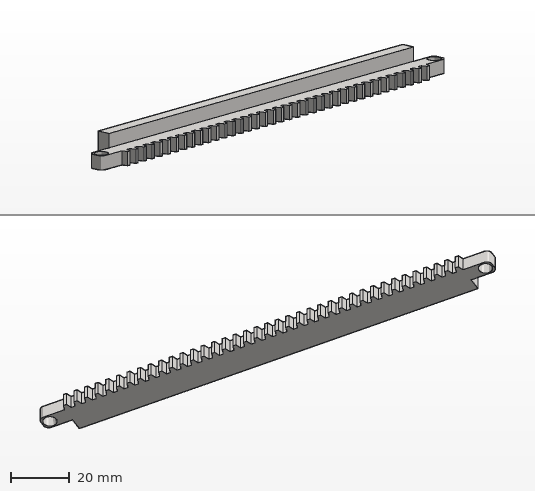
import cadquery as cq

total_length = 173.7
total_width = 13.0
wall_height = 10.0

wall_length = 153.5
wall_thickness = 5.0

bar_width = 5.9
bar_height = wall_height / 2
corner_radius = 1.9
hole_diameter = 4.9
hole_end_distance = bar_width / 2

tooth_count = 38
tooth_root_width = 2.6
tooth_tip_width = 1.2
tooth_pitch = (wall_length - tooth_root_width) / (tooth_count - 1)

wall_outer_x = -total_width / 2
bar_inner_x = wall_outer_x + wall_thickness
bar_outer_x = bar_inner_x + bar_width
bar_middle_x = (bar_inner_x + bar_outer_x) / 2
tooth_tip_x = total_width / 2


def make_wall():
    return (
        cq.Workplane("XY")
        .box(wall_thickness, wall_length, wall_height, centered=(False, True, False))
        .translate((wall_outer_x, 0, 0))
    )


def make_bar():
    """Bar with rounded corners and a through hole near each end."""
    bar = (
        cq.Workplane("XY")
        .box(bar_width, total_length, bar_height, centered=(True, True, False))
        .edges("|Z")
        .fillet(corner_radius)
        .translate((bar_middle_x, 0, 0))
    )
    hole_y = total_length / 2 - hole_end_distance
    holes = (
        cq.Workplane("XY")
        .pushPoints([(bar_middle_x, -hole_y), (bar_middle_x, hole_y)])
        .circle(hole_diameter / 2)
        .extrude(bar_height)
    )
    return bar.cut(holes)


def make_teeth():
    """Tapered teeth on a strip that reaches into the bar."""
    first_tooth_y = (tooth_root_width - wall_length) / 2
    outline = [(bar_middle_x, -wall_length / 2)]
    for index in range(tooth_count):
        tooth_y = first_tooth_y + index * tooth_pitch
        outline += [
            (bar_outer_x, tooth_y - tooth_root_width / 2),
            (tooth_tip_x, tooth_y - tooth_tip_width / 2),
            (tooth_tip_x, tooth_y + tooth_tip_width / 2),
            (bar_outer_x, tooth_y + tooth_root_width / 2),
        ]
    outline.append((bar_middle_x, wall_length / 2))
    return cq.Workplane("XY").polyline(outline).close().extrude(bar_height)


result = make_wall().union(make_bar()).union(make_teeth())